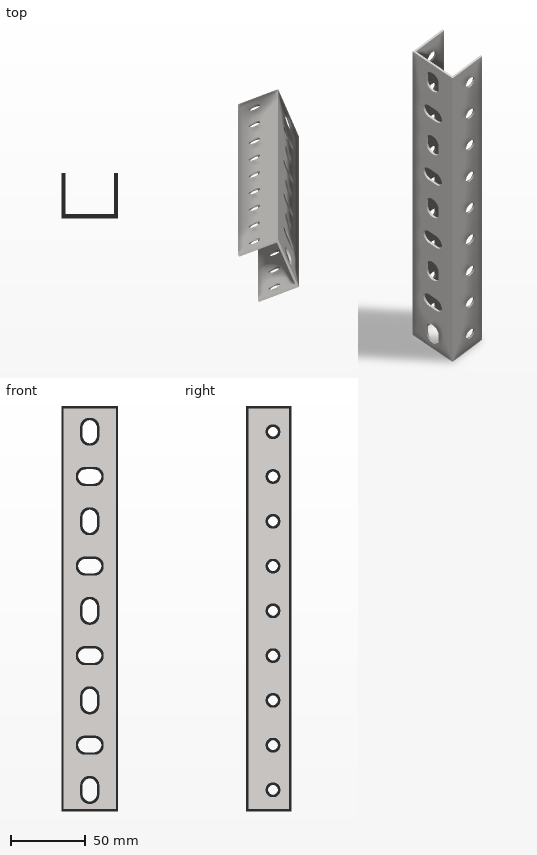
import cadquery as cq

width = 36.7
depth = 29.0
height = 270.0
wall = 1.5

station_count = 9
station_pitch = 30.0
first_station = 13.8

slot_length = 17.0
slot_width = 11.0

hole_diameter = 8.0
hole_from_web = 17.3

stations = [first_station + i * station_pitch for i in range(station_count)]


def make_channel():
    """U-shaped channel with the web at the front and the open side at +Y."""
    outer = cq.Workplane("XY").box(width, depth, height, centered=(True, False, False))
    inner = (
        cq.Workplane("XY")
        .box(width - 2 * wall, depth, height, centered=(True, False, False))
        .translate((0, wall, 0))
    )
    return outer.cut(inner)


def make_web_slot(z, angle):
    """Cutter for one web slot; angle 0 is crosswise, 90 runs along the channel."""
    return (
        cq.Workplane("XZ")
        .center(0, z)
        .slot2D(slot_length, slot_width, angle)
        .extrude(-wall)
    )


def make_flange_holes():
    """Cutters for the round holes that pass through both flanges."""
    return (
        cq.Workplane("YZ")
        .pushPoints([(hole_from_web, z) for z in stations])
        .circle(hole_diameter / 2)
        .extrude(width / 2, both=True)
    )


result = make_channel()

for index, station in enumerate(stations):
    slot_angle = 90 if index % 2 == 0 else 0
    result = result.cut(make_web_slot(station, slot_angle))

result = result.cut(make_flange_holes())